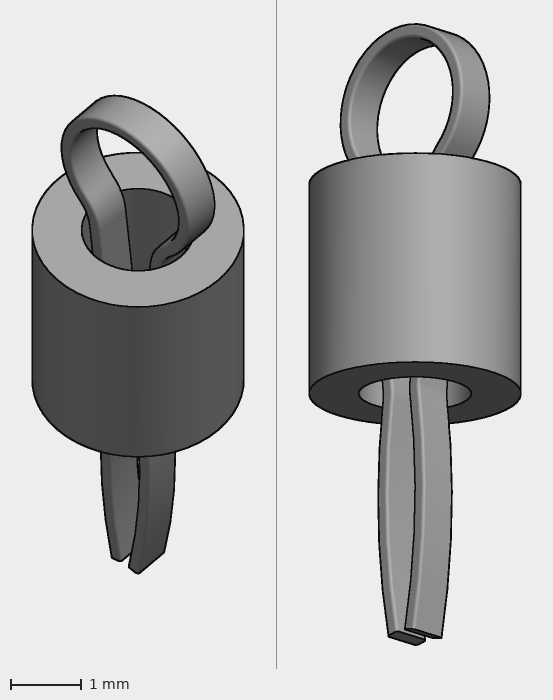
import cadquery as cq
import math

bead_diameter = 3.0
bead_hole_diameter = 1.6
bead_height = 3.1
bead_bottom = 3.62

total_height = 9.02
strip_thickness = 0.2
strip_width = 0.6
strip_edge_fillet = 0.045
loop_outer_diameter = 2.4

loop_turn = 135.0
neck_radius = 0.72
neck_turn = 39.0
shank_length = 2.98
waist_radius = 0.5
waist_turn = 14.0
leg_radius = 10.46

half_thickness = strip_thickness / 2
loop_radius = (loop_outer_diameter - strip_thickness) / 2


def polar(center, radius, angle):
    """Point (x, z) at a radius and an angle in degrees around a centre."""
    return (
        center[0] + radius * math.cos(math.radians(angle)),
        center[1] + radius * math.sin(math.radians(angle)),
    )


def mirrored(point):
    return (-point[0], point[1])


loop_center = (0.0, total_height - loop_outer_diameter / 2)
loop_end_angle = 90 - loop_turn

neck_center = polar(loop_center, loop_radius + neck_radius, loop_end_angle)
neck_start_angle = loop_end_angle + 180
neck_end_angle = neck_start_angle + neck_turn

shank_top = polar(neck_center, neck_radius, neck_end_angle)
shank_bottom = polar(shank_top, shank_length, neck_end_angle + 90)

waist_center = polar(shank_bottom, waist_radius, neck_end_angle - 180)
waist_end_angle = neck_end_angle + waist_turn

leg_start_angle = waist_end_angle - 180
leg_center = polar(waist_center, waist_radius + leg_radius, waist_end_angle)
leg_end_angle = math.degrees(math.asin(-leg_center[1] / (leg_radius + half_thickness)))


def make_clip():
    bends = [
        (loop_center, loop_radius, 90, loop_end_angle),
        (neck_center, neck_radius, neck_start_angle, neck_end_angle),
        (waist_center, waist_radius, neck_end_angle, waist_end_angle),
        (leg_center, leg_radius, leg_start_angle, leg_end_angle),
    ]
    loop, neck, waist, leg = [
        [polar(center, radius, angle) for angle in (start, (start + end) / 2, end)]
        for center, radius, start, end in bends
    ]
    centerline = cq.Workplane("XZ").moveTo(*mirrored(leg[2]))
    for start, middle, end in (leg, waist):
        centerline = centerline.threePointArc(mirrored(middle), mirrored(start))
    centerline = centerline.lineTo(*mirrored(neck[2]))
    centerline = centerline.threePointArc(mirrored(neck[1]), mirrored(neck[0]))
    centerline = centerline.threePointArc(loop[0], loop[2])
    centerline = centerline.threePointArc(neck[1], neck[2])
    centerline = centerline.lineTo(*waist[0])
    for start, middle, end in (waist, leg):
        centerline = centerline.threePointArc(middle, end)

    tip_x, tip_z = mirrored(leg[2])
    across_x, across_z = mirrored(polar((0, 0), 1, leg_end_angle))
    tip_plane = cq.Plane(
        origin=(tip_x, 0, tip_z),
        xDir=(0, 1, 0),
        normal=(across_z, 0, -across_x),
    )
    section = cq.Sketch().rect(strip_width, strip_thickness).vertices().fillet(strip_edge_fillet)
    return cq.Workplane(tip_plane).placeSketch(section).sweep(centerline)


def make_bead():
    return (
        cq.Workplane("XY", origin=(0, 0, bead_bottom))
        .circle(bead_diameter / 2)
        .circle(bead_hole_diameter / 2)
        .extrude(bead_height)
    )


bead = make_bead()
clip = make_clip()
result = cq.Compound.makeCompound([bead.val(), clip.val()])